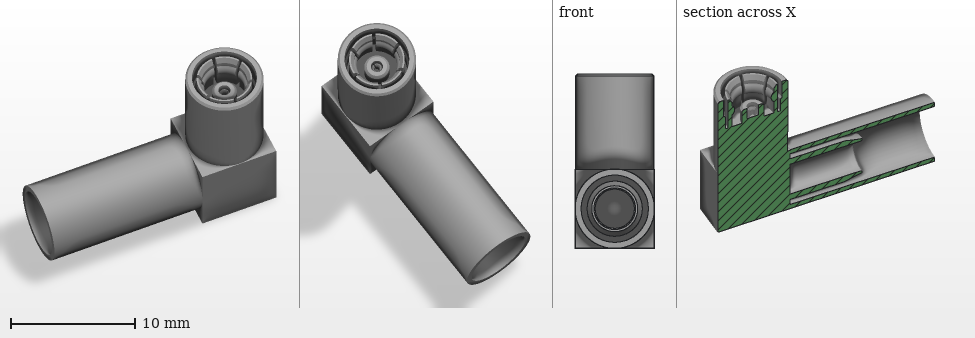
import cadquery as cq


overall_length = 19.5
overall_height = 14.05

block_width = 6.4
block_length = 6.5
block_height = 6.34

tube_radius = block_width / 2
tube_bore_radius = 2.71

post_radius = 2.22
post_tip_radius = 1.85
post_tip_taper_length = 1.56
post_length = 6.5
post_mouth_radius = 1.68
post_bore_radius = 1.58
post_mouth_depth = post_mouth_radius - post_bore_radius

barrel_diameter = 6.32
barrel_radius = barrel_diameter / 2
barrel_chamfer = 0.18
mouth_radius = 2.61
socket_radius = 2.45
shoulder_depth = 1.72
shoulder_height = mouth_radius - socket_radius
socket_depth = 3.12

finger_count = 6
finger_slot_width = 0.3
finger_outer_radius = 2.25
finger_lip_radius = 2.1
finger_inner_radius = 1.85
finger_bump_radius = 1.62
finger_top_depth = 0.14
finger_lead_depth = 0.53
bump_start_depth = 0.9
bump_height = 1.01

boss_radius = 1.01
boss_rim_radius = 0.82
boss_top_depth = 1.7
contact_radius = 0.49
contact_tip_radius = 0.33
contact_mouth_radius = 0.31
contact_hole_radius = 0.2
contact_recess = 0.31
contact_cone_depth = 0.23
contact_hole_depth = 0.78
contact_slot_width = 0.1

base_z = -tube_radius
block_top_z = base_z + block_height
barrel_top_z = base_z + overall_height
block_back_y = barrel_radius
block_front_y = block_back_y - block_length
tube_end_y = block_back_y - overall_length
socket_floor_z = barrel_top_z - socket_depth


def revolved_about_z(points):
    """Turn a closed outline of (radius, z) points about the Z axis."""
    return cq.Workplane("XZ").polyline(points).close().revolve(360, (0, 0), (0, 1))


def revolved_about_y(points):
    """Turn a closed outline of (radius, y) points about the Y axis."""
    return cq.Workplane("XY").polyline(points).close().revolve(360, (0, 0), (0, 1))


def make_block():
    return (
        cq.Workplane("XY")
        .box(block_width, block_length, block_height, centered=(True, False, False))
        .translate((0, block_front_y, base_z))
    )


def make_tube():
    return revolved_about_y([
        (tube_bore_radius, block_front_y),
        (tube_radius, block_front_y),
        (tube_radius, tube_end_y),
        (tube_bore_radius, tube_end_y),
    ])


def make_crimp_post():
    tip_y = block_front_y - post_length
    return revolved_about_y([
        (post_bore_radius, block_front_y),
        (post_radius, block_front_y),
        (post_radius, tip_y + post_tip_taper_length),
        (post_tip_radius, tip_y),
        (post_mouth_radius, tip_y),
        (post_bore_radius, tip_y + post_mouth_depth),
    ])


def make_barrel():
    return revolved_about_z([
        (0, block_top_z),
        (barrel_radius, block_top_z),
        (barrel_radius, barrel_top_z - barrel_chamfer),
        (barrel_radius - barrel_chamfer, barrel_top_z),
        (mouth_radius, barrel_top_z),
        (mouth_radius, barrel_top_z - shoulder_depth),
        (socket_radius, barrel_top_z - shoulder_depth - shoulder_height),
        (socket_radius, socket_floor_z),
        (0, socket_floor_z),
    ])


def make_fingers():
    """Ring with a lead-in cone and a rounded snap bump, cut into fingers by radial slots."""
    top_z = barrel_top_z - finger_top_depth
    bump_top_z = barrel_top_z - bump_start_depth
    ring = (
        cq.Workplane("XZ")
        .moveTo(finger_outer_radius, socket_floor_z)
        .lineTo(finger_outer_radius, top_z)
        .lineTo(finger_lip_radius, top_z)
        .lineTo(finger_inner_radius, barrel_top_z - finger_lead_depth)
        .lineTo(finger_inner_radius, bump_top_z)
        .threePointArc(
            (finger_bump_radius, bump_top_z - bump_height / 2),
            (finger_inner_radius, bump_top_z - bump_height),
        )
        .lineTo(finger_inner_radius, socket_floor_z)
        .close()
        .revolve(360, (0, 0), (0, 1))
    )
    slot = (
        cq.Workplane("XY")
        .box(socket_radius, finger_slot_width, socket_depth, centered=(False, True, False))
        .translate((0, 0, socket_floor_z))
    )
    for index in range(finger_count):
        ring = ring.cut(slot.rotate((0, 0, 0), (0, 0, 1), index * 360 / finger_count))
    return ring


def make_boss():
    """Chamfered boss with the recessed, hollow, slotted tip of the centre contact inside."""
    top_z = barrel_top_z - boss_top_depth
    tip_z = top_z - contact_recess
    boss = revolved_about_z([
        (0, socket_floor_z),
        (boss_radius, socket_floor_z),
        (boss_radius, top_z - (boss_radius - boss_rim_radius)),
        (boss_rim_radius, top_z),
        (contact_radius, top_z),
        (contact_radius, tip_z - contact_cone_depth),
        (contact_tip_radius, tip_z),
        (contact_mouth_radius, tip_z),
        (contact_hole_radius, tip_z - contact_cone_depth),
        (contact_hole_radius, tip_z - contact_hole_depth),
        (0, tip_z - contact_hole_depth),
    ])
    slot = (
        cq.Workplane("XY")
        .box(contact_slot_width, 2 * contact_radius, contact_hole_depth, centered=(True, True, False))
        .translate((0, 0, tip_z - contact_hole_depth))
    )
    contact_envelope = (
        cq.Workplane("XY")
        .workplane(offset=socket_floor_z)
        .circle(contact_radius)
        .extrude(socket_depth)
    )
    return boss.cut(slot.intersect(contact_envelope))


result = (
    make_block()
    .union(make_tube())
    .union(make_crimp_post())
    .union(make_barrel())
    .union(make_fingers())
    .union(make_boss())
)